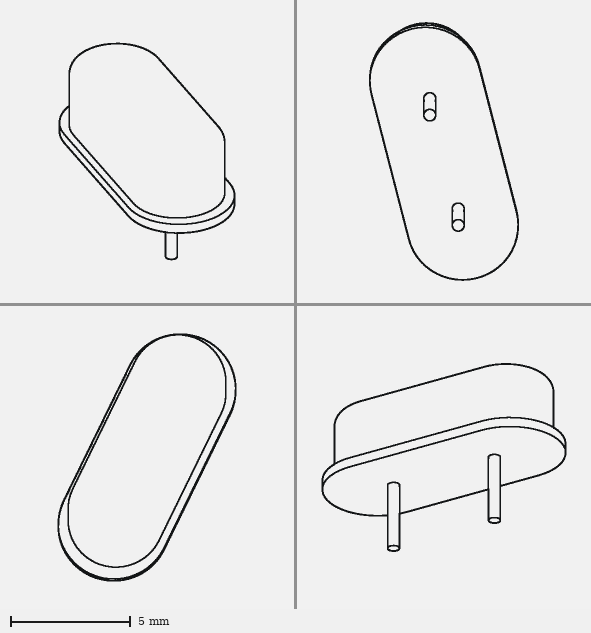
import cadquery as cq

flange_length = 11.05
flange_width = 4.65
flange_thickness = 0.43

can_length = 10.0
can_width = 4.0
can_height = 2.97
can_edge_radius = 0.5

pin_diameter = 0.5
pin_length = 3.0
pin_spacing = 4.88


def make_housing():
    """Flange and can as one solid, with the flange underside at Z = 0."""
    flange = cq.Workplane("XY").slot2D(flange_length, flange_width).extrude(flange_thickness)
    can = (
        cq.Workplane("XY", origin=(0, 0, flange_thickness))
        .slot2D(can_length, can_width)
        .extrude(can_height)
        .faces(">Z")
        .edges()
        .fillet(can_edge_radius)
    )
    return flange.union(can)


def make_pin(x):
    """Straight round lead whose top touches the flange underside."""
    return cq.Workplane("XY").center(x, 0).circle(pin_diameter / 2).extrude(-pin_length)


housing = make_housing()
pins = [make_pin(side * pin_spacing / 2) for side in (-1, 1)]

result = cq.Compound.makeCompound([housing.val(), *[pin.val() for pin in pins]])